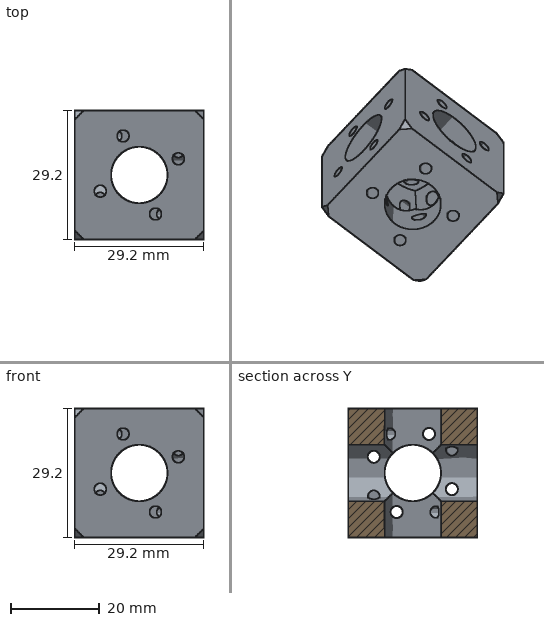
import cadquery as cq

side = 29.2
bore_diameter = 12.7
screw_hole_diameter = 2.7
screw_circle_radius = 9.55
first_screw_angle = 22.5
screw_count = 4
corner_cut = 2.07

half = side / 2
screw_hole_depth = half

face_directions = [
    ((0, -1, 0), (1, 0, 0)),
    ((0, 1, 0), (-1, 0, 0)),
    ((-1, 0, 0), (0, -1, 0)),
    ((1, 0, 0), (0, 1, 0)),
    ((0, 0, 1), (1, 0, 0)),
    ((0, 0, -1), (-1, 0, 0)),
]


def screw_holes(normal, sideways):
    """Ring of blind screw holes entering the cube from one face."""
    origin = cq.Vector(normal) * half
    face_plane = cq.Workplane(cq.Plane(origin, sideways, normal))
    return (
        face_plane.polarArray(screw_circle_radius, first_screw_angle, 360, screw_count)
        .circle(screw_hole_diameter / 2)
        .extrude(-screw_hole_depth)
    )


def corner_wedge(x_sign, y_sign, z_sign):
    """Tetrahedron that bevels one cube corner equally along its three edges."""
    corner = cq.Vector(x_sign, y_sign, z_sign) * half
    tips = [
        corner - cq.Vector(x_sign, 0, 0) * corner_cut,
        corner - cq.Vector(0, y_sign, 0) * corner_cut,
        corner - cq.Vector(0, 0, z_sign) * corner_cut,
    ]
    triangles = [tips] + [[corner, tips[i], tips[(i + 1) % 3]] for i in range(3)]
    faces = [cq.Face.makeFromWires(cq.Wire.makePolygon(t, close=True)) for t in triangles]
    return cq.Workplane(cq.Solid.makeSolid(cq.Shell.makeShell(faces)))


result = cq.Workplane("XY").box(side, side, side)

for plane_name in ("XY", "XZ", "YZ"):
    bore = cq.Workplane(plane_name).circle(bore_diameter / 2).extrude(half, both=True)
    result = result.cut(bore)

for normal, sideways in face_directions:
    result = result.cut(screw_holes(normal, sideways))

for x_sign in (-1, 1):
    for y_sign in (-1, 1):
        for z_sign in (-1, 1):
            result = result.cut(corner_wedge(x_sign, y_sign, z_sign))